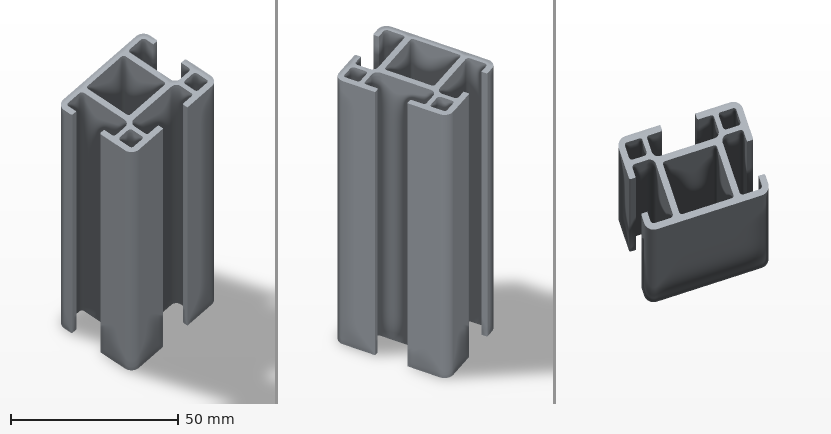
import cadquery as cq

width = 30.0
depth = 39.0
length = 100.0

wall = 2.0
rib = 1.5
slot_opening = 11.0
lip_length = 6.0
box_size = 17.0

outer_radius = 3.0
lip_radius = 0.5
corner_radius = 0.8
web_radius = 2.0
channel_radius = 1.0

left = -width / 2
right = width / 2
half_depth = depth / 2
box_left = left + wall
box_right = box_left + box_size
web_face = box_right + wall
lip_inner_y = half_depth - wall
side_floor_y = box_size / 2 + wall
opening_left = left + lip_length
opening_right = opening_left + slot_opening


def block(x_min, x_max, y_min, y_max):
    """Full-length rectangular prism between the given X and Y limits."""
    return (
        cq.Workplane("XY")
        .box(x_max - x_min, y_max - y_min, length)
        .translate(((x_min + x_max) / 2, (y_min + y_max) / 2, 0))
    )


def round_edge(solid, x, y, radius):
    """Round the lengthwise edge that passes through (x, y)."""
    return solid.edges(cq.selectors.NearestToPointSelector((x, y, 0))).fillet(radius)


def side_channel():
    """T-slot channel that opens towards +Y."""
    channel = block(box_left, web_face, side_floor_y, lip_inner_y)
    channel = channel.edges("|Z and <X").fillet(channel_radius)
    channel = round_edge(channel, web_face, side_floor_y, web_radius)
    channel = round_edge(channel, web_face, lip_inner_y, channel_radius)
    opening = block(opening_left, opening_right, lip_inner_y - corner_radius, half_depth)
    return channel.union(opening)


def front_channel():
    """T-slot channel that opens towards +X."""
    channel = block(web_face, right - wall, -side_floor_y, side_floor_y)
    channel = channel.edges("|Z and <X").fillet(web_radius)
    channel = channel.edges("|Z and >X").fillet(corner_radius)
    opening = block(right - wall - corner_radius, right, -slot_opening / 2, slot_opening / 2)
    return channel.union(opening)


def corner_cavity():
    """Closed square cavity in the +X +Y corner."""
    cavity = block(web_face + rib, right - wall, side_floor_y + rib, lip_inner_y)
    cavity = cavity.edges("|Z and <X").fillet(channel_radius)
    return cavity.edges("|Z and >X").fillet(corner_radius)


body = block(left, right, -half_depth, half_depth).edges("|Z").fillet(outer_radius)
chamber = block(box_left, box_right, -box_size / 2, box_size / 2)
body = body.cut(chamber.edges("|Z").fillet(corner_radius))

for feature in (side_channel(), corner_cavity()):
    body = body.cut(feature).cut(feature.mirror("XZ"))
body = body.cut(front_channel())

for side in (-1, 1):
    for tip_x in (opening_left, opening_right):
        body = round_edge(body, tip_x, side * half_depth, lip_radius)
    body = round_edge(body, right - wall, side * slot_opening / 2, lip_radius)

result = body